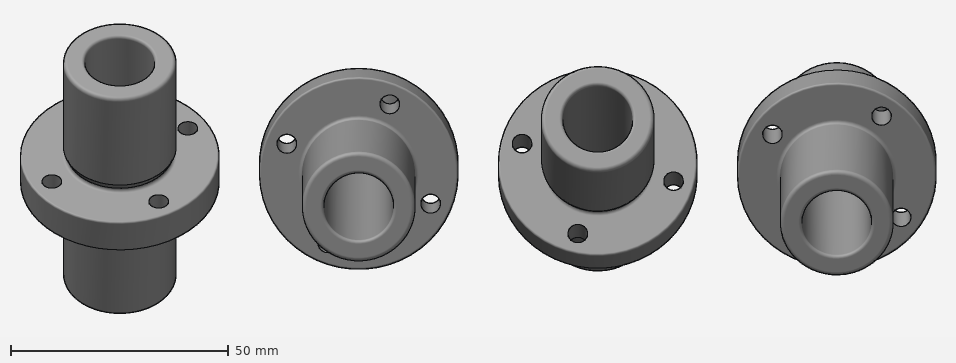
import cadquery as cq

length = 68.0
barrel_radius = 13.0
bore_radius = 8.0
barrel_edge_fillet = 0.95
bore_edge_fillet = 0.75

flange_diameter = 45.75
flange_radius = flange_diameter / 2
flange_thickness = 8.8
flange_bottom = 29.6
flange_top = flange_bottom + flange_thickness
flange_edge_fillet = 0.5
flange_root_fillet = 0.8

groove_top = 41.0
neck_radius = 12.3
neck_bottom = flange_top + flange_root_fillet
neck_height = 0.2

hole_count = 4
hole_diameter = 4.5
hole_circle_radius = 18.0


def make_profile():
    """Revolved blank: lower barrel, flange, tapered relief and upper barrel."""
    return (
        cq.Workplane("XZ")
        .moveTo(bore_radius, 0)
        .lineTo(barrel_radius, 0)
        .lineTo(barrel_radius, flange_bottom - flange_root_fillet)
        .radiusArc((barrel_radius + flange_root_fillet, flange_bottom), flange_root_fillet)
        .lineTo(flange_radius, flange_bottom)
        .lineTo(flange_radius, flange_top)
        .lineTo(neck_radius + flange_root_fillet, flange_top)
        .radiusArc((neck_radius, neck_bottom), flange_root_fillet)
        .lineTo(neck_radius, neck_bottom + neck_height)
        .lineTo(barrel_radius, groove_top)
        .lineTo(barrel_radius, length)
        .lineTo(bore_radius, length)
        .close()
        .revolve(360, (0, 0, 0), (0, 1, 0))
    )


def ring_edges(radius, height):
    """Selector for the circular edge around Z at the given radius and height."""
    reach = 0.1
    outer = radius + reach
    inner = radius - reach
    return cq.selectors.SubtractSelector(
        cq.selectors.BoxSelector((-outer, -outer, height - reach), (outer, outer, height + reach), True),
        cq.selectors.BoxSelector((-inner, -inner, height - reach), (inner, inner, height + reach), True),
    )


def round_edges(body):
    """Round the outer and bore rims at both ends, and both flange rims."""
    for height in (0, length):
        body = body.edges(ring_edges(barrel_radius, height)).fillet(barrel_edge_fillet)
        body = body.edges(ring_edges(bore_radius, height)).fillet(bore_edge_fillet)
    for height in (flange_bottom, flange_top):
        body = body.edges(ring_edges(flange_radius, height)).fillet(flange_edge_fillet)
    return body


def make_mounting_holes():
    """Cutters for the through holes on the flange."""
    return (
        cq.Workplane("XY")
        .workplane(offset=flange_bottom)
        .polarArray(hole_circle_radius, 0, 360, hole_count)
        .circle(hole_diameter / 2)
        .extrude(flange_thickness)
    )


flanged_bushing = round_edges(make_profile()).cut(make_mounting_holes())

result = cq.Compound.makeCompound([flanged_bushing.val()])